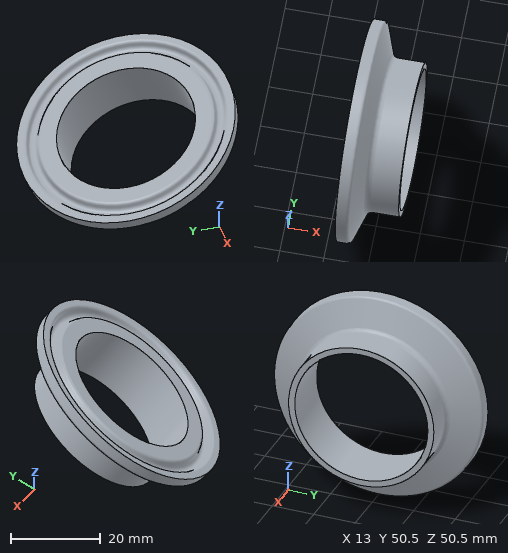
import cadquery as cq
import math

length = 13.0
flange_radius = 50.5 / 2
tube_radius = 35.0 / 2
bore_radius = 32.0 / 2

rim_corner_x = 2.9
cone_angle = 20.0
rim_round = 0.8
neck_round = 1.4

groove_radius = 21.7
mouth_half_width = 1.95
lip_round = 0.8
bottom_round = 1.05
wall_draft = 20.0

cutter_overhang = 0.5
select_margin = 0.05


def ring_edge_at(x):
    """Select the ring edge whose centre lies on the X axis at this X."""
    return cq.selectors.BoxSelector(
        (x - select_margin, -select_margin, -select_margin),
        (x + select_margin, select_margin, select_margin),
    )


def make_body():
    """Flange with a conical back, tube and bore, with the rim and neck rounded."""
    cone_run = (flange_radius - tube_radius) * math.tan(math.radians(cone_angle))
    neck_x = rim_corner_x + cone_run
    profile = cq.Workplane("XY").polyline([
        (0, bore_radius),
        (0, flange_radius),
        (rim_corner_x, flange_radius),
        (neck_x, tube_radius),
        (length, tube_radius),
        (length, bore_radius),
    ]).close()
    body = profile.revolve(360, (0, 0, 0), (1, 0, 0))
    body = body.edges(ring_edge_at(rim_corner_x)).fillet(rim_round)
    return body.edges(ring_edge_at(neck_x)).fillet(neck_round)


def make_groove():
    """Ring cutter: rounded lips, leaning walls and a round bottom, each tangent to the next."""
    draft = math.radians(wall_draft)
    lip_depth = lip_round * (1 - math.sin(draft))
    lip_half_width = mouth_half_width - lip_round * math.cos(draft)
    bottom_half_width = bottom_round * math.cos(draft)
    wall_depth = lip_depth + (lip_half_width - bottom_half_width) / math.tan(draft)
    groove_depth = wall_depth + bottom_round * (1 - math.sin(draft))

    profile = (
        cq.Workplane("XY", origin=(0, groove_radius, 0))
        .moveTo(-cutter_overhang, -mouth_half_width)
        .lineTo(0, -mouth_half_width)
        .radiusArc((lip_depth, -lip_half_width), lip_round)
        .lineTo(wall_depth, -bottom_half_width)
        .threePointArc((groove_depth, 0), (wall_depth, bottom_half_width))
        .lineTo(lip_depth, lip_half_width)
        .radiusArc((0, mouth_half_width), lip_round)
        .lineTo(-cutter_overhang, mouth_half_width)
        .close()
    )
    return profile.revolve(360, (0, -groove_radius, 0), (1, -groove_radius, 0))


result = make_body().cut(make_groove())